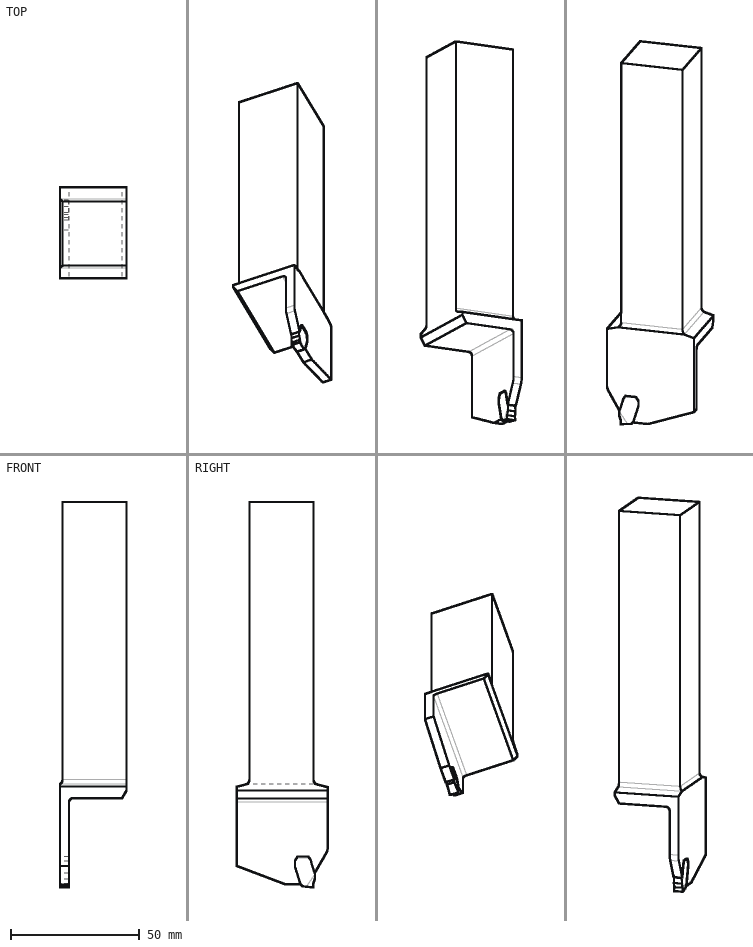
import cadquery as cq
import math


total_height = 150.0
shank_size = 25.0
shank_half = shank_size / 2
shank_bottom_z = 41.95
root_radius = 1.9

blade_offset = 1.0
blade_thickness = 3.6
head_underside_z = 34.7
inner_corner_radius = 1.5
back_chamfer_width = 1.8
back_chamfer_height = 3.1
blade_x_min = -blade_offset
blade_x_max = blade_x_min + blade_thickness
blade_x_mid = (blade_x_min + blade_x_max) / 2

blade_front_y = shank_half + 5.55
blade_rear_y = -shank_half - 4.95
shoulder_drop_angle = 15.0
front_curve_start_z = 15.8
front_curve_radius = 5.0
front_slope_angle = 30.0
blade_tip_z = 5.9
blade_bottom_z = 1.3
blade_bottom_rear_y = 1.3
rear_slope_start_z = 8.4

edge_overhang = 0.02
side_relief = 0.25
edge_tip = (12.5, 0.0)
bottom_rear = (8.2, 0.45)
insert_outline = [
    edge_tip,
    bottom_rear,
    (7.4, 1.2),
    (5.2, 8.3),
    (5.2, 10.4),
    (6.2, 12.0),
    (10.5, 12.0),
    (11.3, 10.8),
    (12.6, 6.4),
    (13.05, 5.6),
    (13.05, 3.4),
    (12.4, 1.6),
]
relief_line_start = (11.7, 3.3)
relief_line_end = (9.9, 0.7)
relief_profile_reach = 20.0
top_bevel_height = 0.4
top_bevel_depth = 0.08


def root_turn():
    """Angle through which each root fillet turns, so that it spans the blade offset exactly."""
    return math.acos(1 - blade_offset / root_radius)


def side_outline():
    """Holder outline in the YZ plane: shank, sloping shoulders and blade."""
    drop = math.radians(shoulder_drop_angle)
    turn = root_turn()

    def root_point(side, angle):
        reach = shank_half + root_radius * (1 - math.cos(angle))
        return side * reach, shank_bottom_z - root_radius * math.sin(angle)

    def shoulder_corner(y_end):
        root_y, root_z = root_point(math.copysign(1, y_end), turn)
        return y_end, root_z - abs(y_end - root_y) * math.tan(drop)

    def front_curve_point(angle):
        return (
            blade_front_y - front_curve_radius * (1 - math.cos(angle)),
            front_curve_start_z - front_curve_radius * math.sin(angle),
        )

    slope = math.radians(front_slope_angle)
    slope_start_y, slope_start_z = front_curve_point(slope)
    blade_tip_y = slope_start_y - (slope_start_z - blade_tip_z) * math.tan(slope)

    return (
        cq.Workplane("YZ")
        .moveTo(-shank_half, total_height)
        .lineTo(shank_half, total_height)
        .lineTo(shank_half, shank_bottom_z)
        .threePointArc(root_point(1, turn / 2), root_point(1, turn))
        .lineTo(*shoulder_corner(blade_front_y))
        .lineTo(blade_front_y, front_curve_start_z)
        .threePointArc(front_curve_point(slope / 2), (slope_start_y, slope_start_z))
        .lineTo(blade_tip_y, blade_tip_z)
        .lineTo(bottom_rear[0], blade_bottom_z)
        .lineTo(blade_bottom_rear_y, blade_bottom_z)
        .lineTo(blade_rear_y, rear_slope_start_z)
        .lineTo(*shoulder_corner(blade_rear_y))
        .lineTo(*root_point(-1, turn))
        .threePointArc(root_point(-1, turn / 2), (-shank_half, shank_bottom_z))
        .close()
    )


def thickness_outline():
    """Holder outline in the XZ plane: shank, head and the thin blade on its -X side."""
    turn = root_turn()

    def root_point(angle):
        return -root_radius * (1 - math.cos(angle)), shank_bottom_z - root_radius * math.sin(angle)

    corner_x = blade_x_max + inner_corner_radius
    corner_z = head_underside_z - inner_corner_radius
    diagonal = inner_corner_radius * math.sqrt(0.5)

    return (
        cq.Workplane("XZ")
        .moveTo(0, total_height)
        .lineTo(0, shank_bottom_z)
        .threePointArc(root_point(turn / 2), root_point(turn))
        .lineTo(blade_x_min, 0)
        .lineTo(blade_x_max, 0)
        .lineTo(blade_x_max, corner_z)
        .threePointArc((corner_x - diagonal, corner_z + diagonal), (corner_x, head_underside_z))
        .lineTo(shank_size - back_chamfer_width, head_underside_z)
        .lineTo(shank_size, head_underside_z + back_chamfer_height)
        .lineTo(shank_size, total_height)
        .close()
    )


def insert_prism(x_min, x_max):
    """Insert outline as a plain prism between two X positions."""
    return cq.Workplane("YZ", origin=(x_min, 0, 0)).polyline(insert_outline).close().extrude(x_max - x_min)


def make_holder():
    width_span = blade_front_y - blade_rear_y
    body = side_outline().extrude(blade_offset + shank_size).translate((blade_x_min, 0, 0))
    thickness_body = thickness_outline().extrude(-width_span).translate((0, blade_rear_y, 0))
    pocket = insert_prism(blade_x_min, blade_x_max)
    return body.intersect(thickness_body).cut(pocket)


def make_insert():
    edge_half_width = blade_thickness / 2 + edge_overhang
    body_half_width = edge_half_width - side_relief

    line_y = relief_line_end[0] - relief_line_start[0]
    line_z = relief_line_end[1] - relief_line_start[1]
    line_length = math.hypot(line_y, line_z)
    tip_y = edge_tip[0] - relief_line_start[0]
    tip_z = edge_tip[1] - relief_line_start[1]
    tip_distance = (line_y * tip_z - line_z * tip_y) / line_length
    profile_plane = cq.Plane(
        origin=(blade_x_mid, *relief_line_start),
        xDir=(1, 0, 0),
        normal=(0, line_y, line_z),
    )
    half_profile = [
        (body_half_width, relief_profile_reach),
        (body_half_width, 0),
        (edge_half_width, -abs(tip_distance)),
    ]
    mirrored = [(-x, s) for x, s in reversed(half_profile)]
    relief_profile = cq.Workplane(profile_plane).polyline(half_profile + mirrored).close()
    relief_body = relief_profile.extrude(relief_profile_reach, both=True)
    prism = insert_prism(blade_x_mid - edge_half_width, blade_x_mid + edge_half_width)
    blank = prism.intersect(relief_body)
    return blank.faces(">Z").edges("|Y").chamfer(top_bevel_height, top_bevel_depth)


holder = make_holder()
insert = make_insert()
result = cq.Compound.makeCompound([holder.val(), insert.val()])